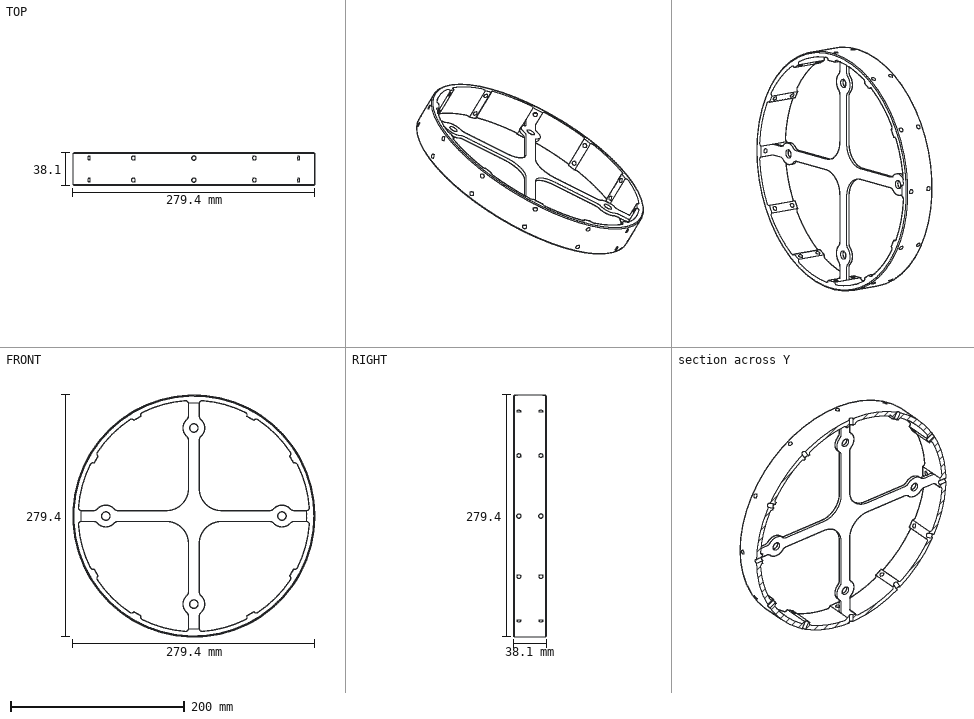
import cadquery as cq
import math

ring_radius = 279.4 / 2
ring_width = 38.1
wall = 6.35
rim_chamfer = 1.27
bore_radius = ring_radius - wall

pad_count = 12
pads_per_spoke = 3
pad_rise = 3.175
pad_radius = bore_radius - pad_rise
spoke_pad_width = 12.7
plain_pad_width = 9.525
pad_fillet = 3.175
pad_overlap = wall / 2
screw_hole_diameter = 4.7625
screw_hole_spacing = 25.4

spoke_count = 4
spoke_width = spoke_pad_width
web_thickness = 3.7
web_center_fillet = 25.4
web_root_fillet = 1.5875
eye_radius = 12.7
eye_hole_diameter = 9.525
eye_distance = 101.6
eye_neck_fillet = 6.35
neck_search_margin = 1.0


def rotated(body, angle):
    """Turn a body about the ring axis."""
    return body.rotate((0, 0, 0), (0, 1, 0), angle)


def extruded(sketch, thickness):
    """Extrude an XZ outline symmetrically about the middle plane."""
    return sketch.extrude(thickness).translate((0, thickness / 2, 0))


def make_ring():
    """Plain ring with both outer rims chamfered."""
    rim = extruded(cq.Workplane("XZ").circle(ring_radius), ring_width)
    rim = rim.edges().chamfer(rim_chamfer)
    bore = extruded(cq.Workplane("XZ").circle(bore_radius), ring_width)
    return rim.cut(bore)


def make_pad(width):
    """Pad at the top of the bore, with concave flanks running tangent into the bore."""
    arc_x = width / 2 + pad_fillet
    arc_z = math.sqrt((bore_radius - pad_fillet) ** 2 - arc_x ** 2)
    corner_angle = math.pi - math.asin((pad_radius - arc_z) / pad_fillet)
    bore_angle = math.atan2(arc_z, arc_x)
    mid_angle = (bore_angle + corner_angle) / 2
    corner_x = arc_x + pad_fillet * math.cos(corner_angle)
    mid_x = arc_x + pad_fillet * math.cos(mid_angle)
    mid_z = arc_z + pad_fillet * math.sin(mid_angle)
    end_x = bore_radius * math.cos(bore_angle)
    end_z = bore_radius * math.sin(bore_angle)
    top_z = bore_radius + pad_overlap
    outline = (
        cq.Workplane("XZ")
        .moveTo(-corner_x, pad_radius)
        .lineTo(corner_x, pad_radius)
        .threePointArc((mid_x, mid_z), (end_x, end_z))
        .lineTo(end_x, top_z)
        .lineTo(-end_x, top_z)
        .lineTo(-end_x, end_z)
        .threePointArc((-mid_x, mid_z), (-corner_x, pad_radius))
        .close()
    )
    return extruded(outline, ring_width)


def make_web():
    """Cross with a large fillet in each inner corner and an eye on each arm."""
    bar = extruded(cq.Workplane("XZ").rect(spoke_width, 2 * bore_radius), web_thickness)
    web = bar.union(rotated(bar, 90))
    corner = spoke_width / 2
    inner_corners = cq.selectors.BoxSelector(
        (-2 * corner, -web_thickness, -2 * corner),
        (2 * corner, web_thickness, 2 * corner),
    )
    web = web.edges("|Y").edges(inner_corners).fillet(web_center_fillet)
    eye = extruded(cq.Workplane("XZ").center(0, eye_distance).circle(eye_radius), web_thickness)
    eye_hole = extruded(
        cq.Workplane("XZ").center(0, eye_distance).circle(eye_hole_diameter / 2), web_thickness
    )
    for i in range(spoke_count):
        web = web.union(rotated(eye, i * 360 / spoke_count))
    neck_offset = math.sqrt(eye_radius ** 2 - corner ** 2)
    for i in range(spoke_count):
        web = rotated(web, 360 / spoke_count)
        for neck_z in (eye_distance - neck_offset, eye_distance + neck_offset):
            neck_corners = cq.selectors.BoxSelector(
                (-2 * corner, -web_thickness, neck_z - neck_search_margin),
                (2 * corner, web_thickness, neck_z + neck_search_margin),
            )
            web = web.edges("|Y").edges(neck_corners).fillet(eye_neck_fillet)
    for i in range(spoke_count):
        web = web.cut(rotated(eye_hole, i * 360 / spoke_count))
    return web


def make_root_fillets():
    """Concave fillets joining both faces of the top arm to its pad."""
    face = web_thickness / 2
    root = web_root_fillet
    bend = root * (1 - math.sqrt(0.5))
    profile = (
        cq.Workplane("YZ")
        .moveTo(face, pad_radius - root)
        .threePointArc((face + bend, pad_radius - bend), (face + root, pad_radius))
        .lineTo(face + root, pad_radius + root)
        .lineTo(0, pad_radius + root)
        .lineTo(0, pad_radius - root)
        .close()
        .extrude(spoke_width / 2, both=True)
    )
    return profile.union(profile.mirror("XZ"))


def make_screw_holes():
    """Pair of radial holes through the top pad and the ring wall."""
    start = pad_radius - pad_rise
    return (
        cq.Workplane("XY", origin=(0, 0, start))
        .pushPoints([(0, -screw_hole_spacing / 2), (0, screw_hole_spacing / 2)])
        .circle(screw_hole_diameter / 2)
        .extrude(ring_radius - start + wall)
    )


def build():
    """Join the ring, web and pads, then drill every pad."""
    part = make_ring().union(make_web())
    spoke_pad = make_pad(spoke_pad_width).union(make_root_fillets())
    plain_pad = make_pad(plain_pad_width)
    holes = make_screw_holes()
    for i in range(pad_count):
        pad = spoke_pad if i % pads_per_spoke == 0 else plain_pad
        part = part.union(rotated(pad, i * 360 / pad_count))
    for i in range(pad_count):
        part = part.cut(rotated(holes, i * 360 / pad_count))
    return part


result = build()